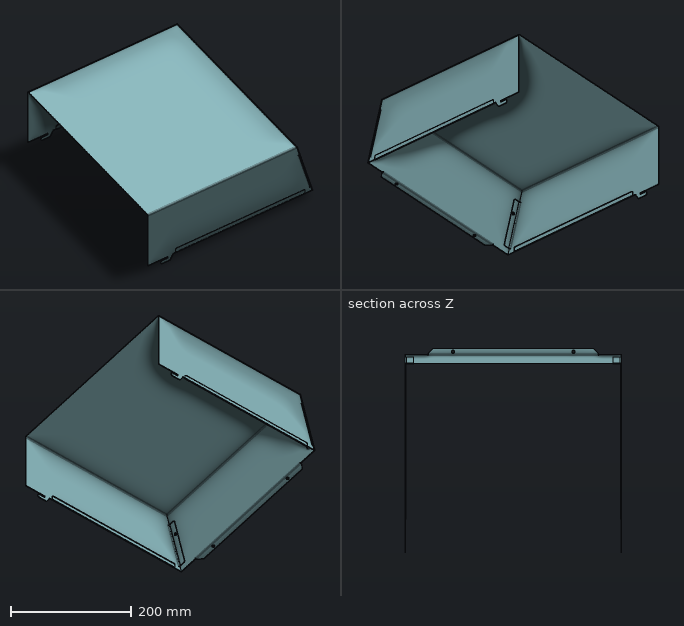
import cadquery as cq
import math


sheet = 1.0
bend_inner = 1.5
bend_outer = bend_inner + sheet

width = 361.0
depth = 340.0
total_height = 126.5
hook_drop = 11.2
height = total_height - hook_drop
half_width = width / 2

lean = math.radians(15)
plate_foot = 329.5
sheet_along_y = sheet / math.cos(lean)

flange_half_width = 141.5
flange_chamfer = 8.3
flange_hole_spacing = 200.7
flange_hole_inset = 5.8
flange_root_height = 3.5
hole_diameter = 4.7

tab_bottom = 10.5
tab_top = 94.2
tab_reach = 14.8
tab_root = 3.0
tab_corner = 3.0
tab_hole_inset = 9.7
tab_hole_height = 70.0

hem_front = 55.5
hem_rear = 314.8
hem_height = 8.5
hem_corner = 3.0

hook_root = 50.0
hook_heel = 44.5
hook_tip = 26.0
hook_arm = 7.2
hook_tip_radius = 3.2
slot_end = 40.0
skirt_drop = 1.5
wall_corner = 1.5


def plate_y(z, inward=0.0):
    """Y of the rear plate's outer face at height z, shifted inward along Y."""
    return plate_foot - z * math.tan(lean) - inward


def cover_block(inset, bend):
    """Solid hood shape, inset from the outer faces, with rounded top bends."""
    top = height - inset
    side = half_width - inset
    y_inset = inset / math.cos(lean)
    profile = [(0, 0), (plate_y(0, y_inset), 0), (plate_y(top, y_inset), top), (0, top)]
    block = cq.Workplane("YZ").polyline(profile).close().extrude(side, both=True)
    return block.faces(">Z").edges("|Y or >Y").fillet(bend)


def make_cover():
    """Top, two side walls and leaning rear plate; open at the bottom and front."""
    return cover_block(0, bend_outer).cut(cover_block(sheet, bend_inner))


def make_rear_flange():
    """Horizontal flange bent outward from the foot of the rear plate."""
    root = flange_root_height
    section = [
        (depth, 0),
        (depth, sheet),
        (plate_y(sheet), sheet),
        (plate_y(root), root),
        (plate_y(root, sheet_along_y), root),
        (plate_y(0, sheet_along_y), 0),
    ]
    flange = cq.Workplane("YZ").polyline(section).close().extrude(flange_half_width, both=True)
    inside_bend = cq.selectors.NearestToPointSelector((0, plate_y(sheet), sheet))
    flange = flange.edges(inside_bend).fillet(bend_inner)
    outside_bend = cq.selectors.NearestToPointSelector((0, plate_y(0, sheet_along_y), 0))
    flange = flange.edges(outside_bend).fillet(bend_outer)
    flange = flange.faces(">Y").edges("|Z").chamfer(flange_chamfer)
    holes = (
        cq.Workplane("XY")
        .pushPoints([(side * flange_hole_spacing / 2, depth - flange_hole_inset) for side in (-1, 1)])
        .circle(hole_diameter / 2)
        .extrude(sheet)
    )
    return flange.cut(holes)


def flange_clearance():
    """Foot of the rear plate that the bent flange root takes the place of."""
    return (
        cq.Workplane("XY")
        .center(0, plate_foot)
        .rect(2 * flange_half_width, 2 * flange_root_height)
        .extrude(flange_root_height)
    )


def slope_plane(z):
    """Plane across the slope: X along the part, local Y pointing to the rear plate."""
    origin = (-half_width, plate_y(z, sheet_along_y), z)
    return cq.Plane(origin=origin, xDir=(1, 0, 0), normal=(0, -math.sin(lean), math.cos(lean)))


def make_tab():
    """Left tab, bent from the side wall to lie against the rear plate."""
    length = (tab_top - tab_bottom) / math.cos(lean)
    section = [
        (0, -tab_root),
        (0, 0),
        (tab_reach, 0),
        (tab_reach, -sheet),
        (sheet, -sheet),
        (sheet, -tab_root),
    ]
    plane = slope_plane(tab_bottom)
    tab = cq.Workplane(plane).polyline(section).close().extrude(length)
    for offset, radius in ((0, bend_outer), (sheet, bend_inner)):
        middle = plane.toWorldCoords((offset, -offset, length / 2))
        tab = tab.edges(cq.selectors.NearestToPointSelector(middle.toTuple())).fillet(radius)
    free_corners = tab.faces(">X").edges(cq.selectors.ParallelDirSelector(plane.yDir))
    return free_corners.fillet(tab_corner)


def tab_clearance():
    """Rear strip of the left wall that the tab's bend takes the place of."""
    length = (tab_top - tab_bottom) / math.cos(lean)
    return (
        cq.Workplane(slope_plane(tab_bottom))
        .rect(sheet, -tab_root, centered=False)
        .extrude(length)
    )


def make_hem():
    """Left hem: a strip lying on the inside of the wall, upper corners rounded."""
    return (
        cq.Workplane("XY")
        .box(sheet, hem_rear - hem_front, hem_height, centered=False)
        .translate((-half_width + sheet, hem_front, 0))
        .faces(">Z").edges("|X").fillet(hem_corner)
    )


def make_hook():
    """Left hook below the wall, with the deeper strip of wall in front of it."""
    arm_top = hook_arm - hook_drop
    outline = (
        cq.Workplane("YZ", origin=(-half_width, 0, 0))
        .moveTo(0, 0)
        .lineTo(0, -skirt_drop)
        .lineTo(slot_end, -skirt_drop)
        .lineTo(slot_end, arm_top)
        .lineTo(hook_tip, arm_top)
        .lineTo(hook_tip, -hook_drop)
        .lineTo(hook_heel, -hook_drop)
        .lineTo(hook_root, -skirt_drop)
        .lineTo(hook_root, 0)
        .close()
        .extrude(sheet)
    )
    tip = cq.selectors.BoxSelector(
        (-width, hook_tip - sheet, -hook_drop - sheet), (0, hook_tip + sheet, arm_top + sheet)
    )
    return outline.edges("|X").edges(tip).fillet(hook_tip_radius)


def tab_holes():
    """Holes square to the rear plate, through each tab and the plate behind it."""
    plane = cq.Plane(
        origin=(0, plate_y(tab_hole_height), tab_hole_height),
        xDir=(1, 0, 0),
        normal=(0, -math.cos(lean), -math.sin(lean)),
    )
    x = half_width - tab_hole_inset
    holes = cq.Workplane(plane).pushPoints([(-x, 0), (x, 0)]).circle(hole_diameter / 2)
    return holes.extrude(3 * sheet, both=True)


def mirrored_pair(left):
    """The left-hand piece together with its mirror image on the right."""
    return left.add(left.mirror("YZ")).combine()


def round_wall_corners(body):
    """Round the lower front corner of both side walls."""
    corners = cq.selectors.BoxSelector(
        (-width, -sheet, -skirt_drop - sheet), (width, sheet, -skirt_drop + sheet)
    )
    return body.edges("|X").edges(corners).fillet(wall_corner)


cover = make_cover().cut(flange_clearance()).union(make_rear_flange())
cover = cover.cut(mirrored_pair(tab_clearance()))
for left_part in (make_tab(), make_hem(), make_hook()):
    cover = cover.union(mirrored_pair(left_part))
cover = round_wall_corners(cover)

result = cover.cut(tab_holes())